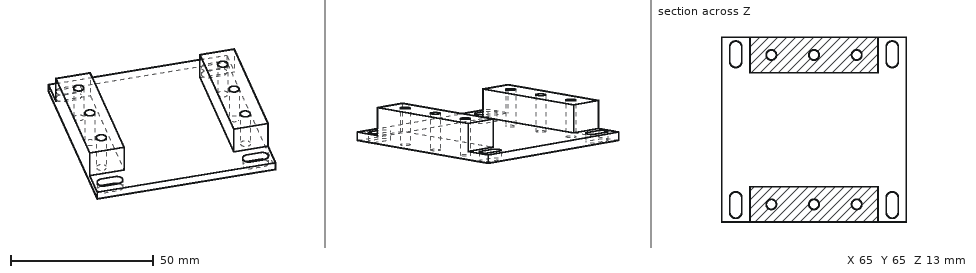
import cadquery as cq

plate_size = 65.0
plate_thickness = 3.0

rail_length = 45.0
rail_width = 12.5
rail_height = 10.0
rail_offset = (plate_size - rail_width) / 2

rail_hole_diameter = 3.5
rail_hole_spacing = 15.0
rail_hole_count = 3

slot_width = 4.2
slot_length = 9.2
slot_side_inset = 5.0
slot_end_inset = 6.0

total_height = plate_thickness + rail_height


def make_plate():
    return cq.Workplane("XY").box(
        plate_size, plate_size, plate_thickness, centered=(True, True, False)
    )


def make_rails():
    return (
        cq.Workplane("XY", origin=(0, 0, plate_thickness))
        .pushPoints([(0, -rail_offset), (0, rail_offset)])
        .rect(rail_length, rail_width)
        .extrude(rail_height)
    )


def make_rail_holes():
    return (
        cq.Workplane("XY")
        .rarray(rail_hole_spacing, 2 * rail_offset, rail_hole_count, 2)
        .circle(rail_hole_diameter / 2)
        .extrude(total_height)
    )


def make_corner_slots():
    spacing_x = plate_size - 2 * slot_side_inset
    spacing_y = plate_size - 2 * slot_end_inset
    return (
        cq.Workplane("XY")
        .rarray(spacing_x, spacing_y, 2, 2)
        .slot2D(slot_length, slot_width, angle=90)
        .extrude(plate_thickness)
    )


body = make_plate().union(make_rails())
result = body.cut(make_rail_holes()).cut(make_corner_slots())